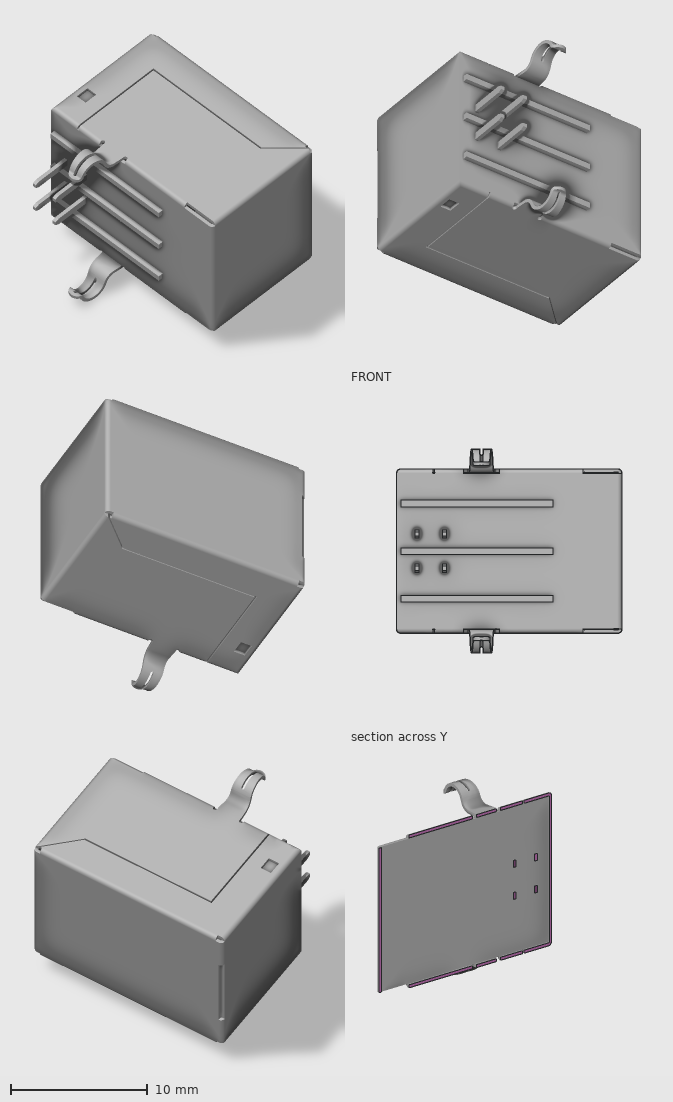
import cadquery as cq
import math


LENGTH = 16.5
DEPTH = 10.63
HEIGHT = 12.03
SHEET = 0.26
BEND = 0.33

CORNER_RELIEF = 0.6
FRONT_GAP = 2.85
SIDE_GAP_HEIGHT = 6.24
SLIT = 0.13
SLIT_X = 2.72
SLIT_Y = 7.9
SLIT_TURN_X = 13.75
WINDOW_X, WINDOW_Y = 1.02, 2.65
WINDOW_LENGTH, WINDOW_WIDTH = 0.89, 1.1

RIB_START, RIB_LENGTH = 0.33, 11.1
RIB_HEIGHT, RIB_THICKNESS = 0.41, 0.48
RIB_PITCH = 3.48

TAB_X = 6.22
TAB_REACH = 4.24
TAB_RISE = 1.45
TAB_ROOT_WIDTH = 1.95
TAB_TIP_RADIUS = 0.63
TAB_STRAIGHT = 0.68
TAB_ROOT_CURVE = 0.87
TAB_CREST_CURVE = 1.14
TAB_END_CURVE = 0.35
TAB_SLOPE = math.radians(65)
TAB_CREST_Y = -2.62
TAB_END_DROP = 0.94
TAB_SLOT_WIDTH = 0.25
TAB_SLOT_START, TAB_SLOT_END = 1.65, 3.95
TAB_RELIEF_WIDTH = 0.33
TAB_RELIEF_DEPTH = 0.4

HOUSING_END = 7.28
HOUSING_FRONT = 1.6
HOUSING_CHAMFER_START = 7.6
HOUSING_FILLET = 0.33

PIN_X, PIN_PITCH_X = 1.52, 2.01
PIN_PITCH_Z = 2.5
PIN_THICKNESS, PIN_WIDTH = 0.3, 0.6
PIN_REACH = 3.3
PIN_TAPER = 0.33
PIN_TIP_WIDTH = 0.3

HALF_HEIGHT = HEIGHT / 2
INNER_HALF_HEIGHT = HALF_HEIGHT - SHEET
INNER_BACK = DEPTH - SHEET
BEND_Z = HALF_HEIGHT - BEND


def block(x0, x1, y0, y1, z0, z1):
    """Box between two opposite corners."""
    return cq.Workplane("XY").box(x1 - x0, y1 - y0, z1 - z0, centered=False).translate((x0, y0, z0))


def both_sides(shape):
    """The shape together with its mirror image below Z = 0."""
    return shape.union(shape.mirror("XY"))


def plan_cut(outline):
    """Extrude a closed XY outline through the top wall, from the inner end of its bends upwards."""
    return outline.extrude(BEND).translate((0, 0, BEND_Z))


def rounded_box(inset, radius):
    """Box inside the outer faces by `inset`; only its vertical edge at -X, -Y stays sharp."""
    top = HALF_HEIGHT - inset
    box = block(inset, LENGTH - inset, inset, DEPTH - inset, -top, top)
    lengthwise = box.edges("|X").vals()
    crosswise = box.edges("|Y").vals()
    upright = box.edges("|Z and (>X or >Y)").vals()
    return box.newObject(lengthwise + crosswise + upright).fillet(radius)


def shield_cavity():
    """Space enclosed by the shield."""
    return rounded_box(SHEET, BEND - SHEET)


def shield_shell():
    """Closed box of bent sheet."""
    return rounded_box(0, BEND).cut(shield_cavity())


def bend_gaps():
    """Open stretches of the bends."""
    back = DEPTH - BEND
    left_corner = block(0, CORNER_RELIEF, back, DEPTH, BEND_Z, HALF_HEIGHT)
    right_corner = block(LENGTH - CORNER_RELIEF, LENGTH, back, DEPTH, BEND_Z, HALF_HEIGHT)
    front = block(LENGTH - FRONT_GAP, LENGTH, 0, BEND, BEND_Z, HALF_HEIGHT)
    side = block(0, BEND, back, DEPTH, -SIDE_GAP_HEIGHT / 2, SIDE_GAP_HEIGHT / 2)
    return both_sides(left_corner.union(right_corner).union(front)).union(side)


def slit():
    """Slit that runs back from the front bend, along X, then diagonally to the far corner."""
    left, right = SLIT_X - SLIT / 2, SLIT_X + SLIT / 2
    near, far = SLIT_Y - SLIT / 2, SLIT_Y + SLIT / 2
    back = DEPTH - BEND
    outline = (
        cq.Workplane("XY")
        .moveTo(left, 0)
        .lineTo(left, far)
        .lineTo(SLIT_TURN_X, far)
        .lineTo(SLIT_TURN_X + back - far, back)
        .lineTo(SLIT_TURN_X + back - near, back)
        .lineTo(SLIT_TURN_X, near)
        .lineTo(right, near)
        .lineTo(right, 0)
        .close()
    )
    return plan_cut(outline)


def window():
    """Rectangular window beside the slit."""
    outline = cq.Workplane("XY").center(WINDOW_X, WINDOW_Y).rect(WINDOW_LENGTH, WINDOW_WIDTH)
    return plan_cut(outline)


def tab_opening():
    """Cut in the front bend for a tab and the round-ended relief on each side of it."""
    radius = TAB_RELIEF_WIDTH / 2
    root_half = TAB_ROOT_WIDTH / 2
    straight = TAB_RELIEF_DEPTH - radius
    opening = block(TAB_X - root_half, TAB_X + root_half, 0, BEND, BEND_Z, HALF_HEIGHT)
    for side in (-1, 1):
        x = TAB_X + side * (root_half + radius)
        outline = (
            cq.Workplane("XY")
            .moveTo(x - radius, 0)
            .lineTo(x - radius, straight)
            .threePointArc((x, TAB_RELIEF_DEPTH), (x + radius, straight))
            .lineTo(x + radius, 0)
            .close()
        )
        opening = opening.union(plan_cut(outline))
    return opening


def tab():
    """Bent spring tab on the top wall: a curved strip trimmed to a tapered, slotted outline."""
    root_z = HALF_HEIGHT - SHEET / 2
    crest_z = root_z + TAB_RISE
    end_z = crest_z - TAB_END_DROP
    half = SHEET / 2
    root_half = TAB_ROOT_WIDTH / 2

    crest_centre = (TAB_CREST_Y, crest_z - TAB_CREST_CURVE)
    root_centre = (-TAB_STRAIGHT, root_z + TAB_ROOT_CURVE)
    end_angle = math.acos(1 - TAB_END_DROP / (TAB_CREST_CURVE + TAB_END_CURVE))
    end_centre = (
        TAB_CREST_Y - (TAB_CREST_CURVE + TAB_END_CURVE) * math.sin(end_angle),
        end_z + TAB_END_CURVE,
    )

    def on(centre, radius, angle):
        """Point on a circle; the angle is measured from +Z towards -Y."""
        return (centre[0] - radius * math.sin(angle), centre[1] + radius * math.cos(angle))

    def face_points(offset):
        """Corner and mid-arc points of one face, offset from the middle of the sheet."""
        root = TAB_ROOT_CURVE - offset
        crest = TAB_CREST_CURVE + offset
        end = TAB_END_CURVE - offset
        return [
            (BEND, root_z + offset),
            (-TAB_STRAIGHT, root_z + offset),
            on(root_centre, root, math.pi - TAB_SLOPE / 2),
            on(root_centre, root, math.pi - TAB_SLOPE),
            on(crest_centre, crest, -TAB_SLOPE),
            on(crest_centre, crest, 0),
            on(crest_centre, crest, end_angle),
            on(end_centre, end, math.pi + end_angle / 2),
            on(end_centre, end, math.pi),
            (-TAB_REACH, end_z + offset),
        ]

    upper = face_points(half)
    lower = face_points(-half)[::-1]
    strip = (
        cq.Workplane("YZ")
        .moveTo(*upper[0])
        .lineTo(*upper[1])
        .threePointArc(upper[2], upper[3])
        .lineTo(*upper[4])
        .threePointArc(upper[5], upper[6])
        .threePointArc(upper[7], upper[8])
        .lineTo(*upper[9])
        .lineTo(*lower[0])
        .lineTo(*lower[1])
        .threePointArc(lower[2], lower[3])
        .threePointArc(lower[4], lower[5])
        .lineTo(*lower[6])
        .threePointArc(lower[7], lower[8])
        .lineTo(*lower[9])
        .close()
        .extrude(TAB_ROOT_WIDTH)
        .translate((TAB_X - root_half, 0, 0))
    )

    shoulder = -(TAB_REACH - TAB_TIP_RADIUS)
    outline = (
        cq.Workplane("XY")
        .moveTo(-root_half, BEND)
        .lineTo(-root_half, 0)
        .lineTo(-TAB_TIP_RADIUS, shoulder)
        .threePointArc((0, -TAB_REACH), (TAB_TIP_RADIUS, shoulder))
        .lineTo(root_half, 0)
        .lineTo(root_half, BEND)
        .close()
        .extrude(HEIGHT)
    )
    slot_length = TAB_SLOT_END - TAB_SLOT_START
    slot = (
        cq.Workplane("XY")
        .center(0, -(TAB_SLOT_START + TAB_SLOT_END) / 2)
        .slot2D(slot_length, TAB_SLOT_WIDTH, 90)
        .extrude(HEIGHT)
    )
    return strip.intersect(outline.cut(slot).translate((TAB_X, 0, 0)))


def rib(z):
    """Standoff rib along the front wall."""
    half = RIB_THICKNESS / 2
    return block(RIB_START, RIB_START + RIB_LENGTH, -RIB_HEIGHT, 0, z - half, z + half)


def make_shield(pins):
    """Bent shield with its cuts, tabs and ribs, and a hole that fits each pin."""
    shield = shield_shell().cut(bend_gaps())
    for cutter in (slit(), window(), tab_opening()):
        shield = shield.cut(both_sides(cutter))
    shield = shield.union(tab()).union(tab().mirror("XY"))
    for z in (-RIB_PITCH, 0, RIB_PITCH):
        shield = shield.union(rib(z))
    for pin in pins:
        shield = shield.cut(pin)
    return shield


def make_housing():
    """Block that fits the -X end of the shield, with chamfered back and rounded front edges."""
    housing = block(SHEET, HOUSING_END, HOUSING_FRONT, INNER_BACK, -INNER_HALF_HEIGHT, INNER_HALF_HEIGHT)
    housing = housing.edges("|X and >Y").chamfer(INNER_BACK - HOUSING_CHAMFER_START)
    housing = housing.edges("|X and <Y").fillet(HOUSING_FILLET)
    return housing.intersect(shield_cavity())


def make_pin(x, z):
    """Flat pin from the housing through the front wall, tapered at the tip."""
    half = PIN_WIDTH / 2
    tip = PIN_TIP_WIDTH / 2
    outline = [
        (HOUSING_FRONT, -half),
        (HOUSING_FRONT, half),
        (PIN_TAPER - PIN_REACH, half),
        (-PIN_REACH, tip),
        (-PIN_REACH, -tip),
        (PIN_TAPER - PIN_REACH, -half),
    ]
    pin = cq.Workplane("YZ").polyline(outline).close().extrude(PIN_THICKNESS / 2, both=True)
    return pin.translate((x, 0, z))


pins = [
    make_pin(PIN_X + column * PIN_PITCH_X, row * PIN_PITCH_Z / 2)
    for column in (0, 1)
    for row in (-1, 1)
]
shield = make_shield(pins)
housing = make_housing()

result = cq.Compound.makeCompound([shield.val(), housing.val(), *[pin.val() for pin in pins]])